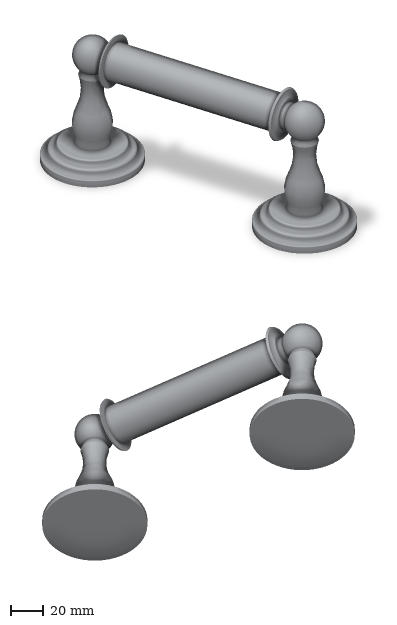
import cadquery as cq
import math

post_spacing = 152.4
axis_height = 76.35

foot_radius = 32.51
foot_height = 4.9
foot_round = 0.6
lower_cove_start = 30.4
middle_radius = 27.8
middle_height = 9.6
middle_round = 1.6
lower_cove_top = 7.6
upper_cove_start = 24.5
upper_cove_top = 11.6
top_radius = 22.4
top_height = 13.3
top_round = 1.3

flare_radius = 11.5
flare_waist_radius = 10.8
bulb_bottom_radius = 11.0
bulb_bottom_height = 19.0
bulb_radius = 12.7
bulb_height = 27.0
bulb_top_radius = 10.2
bulb_top_height = 38.0
waist_radius = 7.2
waist_height = 50.5
ridge_radius = 8.8
ridge_height = 62.3
throat_radius = 7.5

ball_radius = 12.6
ball_flat_distance = 9.9

shaft_radius = 8.75
shaft_chamfer = 0.9
flange_radius = 17.4
flange_inner_face = 15.7
flange_rim_face = 14.3
flange_rim_radius = 16.7
flange_hub_face = 12.9
flange_hub_radius = 11.2

sleeve_radius = 12.5

half_spacing = post_spacing / 2
throat_height = axis_height - math.sqrt(ball_radius**2 - throat_radius**2)
spindle_end = half_spacing - ball_flat_distance
spindle_end_radius = math.sqrt(ball_radius**2 - ball_flat_distance**2)
sleeve_length = 2 * (half_spacing - flange_inner_face)


def bend_middle(start, end, corner):
    """Middle point of a quarter round from start to end that bulges towards the corner."""
    pull = math.sqrt(2) - 1
    return tuple((s + e) / 2 * (1 - pull) + c * pull for s, e, c in zip(start, end, corner))


def revolve_about_z(profile):
    return profile.close().revolve(360, (0, 0, 0), (0, 1, 0))


def add_cove(profile, start, end):
    """Concave cove that rises inwards from start, on a flat, to end, on the next tier's side."""
    corner = (end[0], start[1])
    return profile.lineTo(*start).threePointArc(bend_middle(start, end, corner), end)


def add_rounded_rim(profile, radius, height, round_radius):
    """Convex round from a tier's side onto its flat top."""
    start = (radius, height - round_radius)
    end = (radius - round_radius, height)
    return profile.lineTo(*start).threePointArc(bend_middle(start, end, (radius, height)), end)


def make_base():
    profile = cq.Workplane("XZ").lineTo(foot_radius, 0)
    profile = add_rounded_rim(profile, foot_radius, foot_height, foot_round)
    profile = add_cove(profile, (lower_cove_start, foot_height), (middle_radius, lower_cove_top))
    profile = add_rounded_rim(profile, middle_radius, middle_height, middle_round)
    profile = add_cove(profile, (upper_cove_start, middle_height), (top_radius, upper_cove_top))
    profile = add_rounded_rim(profile, top_radius, top_height, top_round)
    return revolve_about_z(profile.lineTo(0, top_height))


def make_post():
    flare_middle = (flare_waist_radius, (top_height + bulb_bottom_height) / 2)
    profile = (
        cq.Workplane("XZ")
        .moveTo(0, top_height)
        .lineTo(flare_radius, top_height)
        .threePointArc(flare_middle, (bulb_bottom_radius, bulb_bottom_height))
        .spline([(bulb_radius, bulb_height), (bulb_top_radius, bulb_top_height)], includeCurrent=True)
        .spline([(waist_radius, waist_height), (ridge_radius, ridge_height)], includeCurrent=True)
        .lineTo(throat_radius, throat_height)
        .lineTo(0, axis_height)
    )
    return revolve_about_z(profile)


def make_ball():
    """Ball with its +X side cut flat for the spindle."""
    ball = cq.Workplane("XY").sphere(ball_radius)
    cutter = cq.Workplane("YZ").workplane(offset=ball_flat_distance).circle(ball_radius).extrude(ball_radius)
    return ball.cut(cutter).translate((0, 0, axis_height))


def make_stand():
    """Base, post and ball as one solid on the Z axis, with the ball flat facing +X."""
    return make_base().union(make_post()).union(make_ball())


def make_spindle():
    """Left half turned about the X axis, then mirrored into a full shaft with two flanges."""
    left_post = -half_spacing
    shoulder = -spindle_end + shaft_chamfer
    rim = (left_post + flange_rim_face, flange_rim_radius)
    hub = (left_post + flange_hub_face, flange_hub_radius)
    flange_edge = (left_post + flange_inner_face, flange_radius)
    end_edge = (-spindle_end, spindle_end_radius)
    half = (
        cq.Workplane("XZ")
        .moveTo(-spindle_end, 0)
        .lineTo(*end_edge)
        .lineTo(shoulder, shaft_radius)
        .lineTo(hub[0], shaft_radius)
        .lineTo(*hub)
        .threePointArc(bend_middle(hub, rim, (rim[0], hub[1])), rim)
        .lineTo(*flange_edge)
        .lineTo(flange_edge[0], shaft_radius)
        .lineTo(0, shaft_radius)
        .lineTo(0, 0)
        .close()
        .revolve(360, (0, 0, 0), (1, 0, 0))
    )
    return half.union(half.mirror("YZ")).translate((0, 0, axis_height))


def make_sleeve():
    """Tube that fills the space between the flanges and fits around the shaft."""
    return (
        cq.Workplane("YZ")
        .workplane(offset=-sleeve_length / 2)
        .circle(sleeve_radius)
        .circle(shaft_radius)
        .extrude(sleeve_length)
        .translate((0, 0, axis_height))
    )


stands = []
for side_angle, x in ((0, -half_spacing), (180, half_spacing)):
    stand = make_stand().rotate((0, 0, 0), (0, 0, 1), side_angle).translate((x, 0, 0))
    stands.append(stand.val())

spindle = make_spindle()
sleeve = make_sleeve()

result = cq.Compound.makeCompound([*stands, spindle.val(), sleeve.val()])